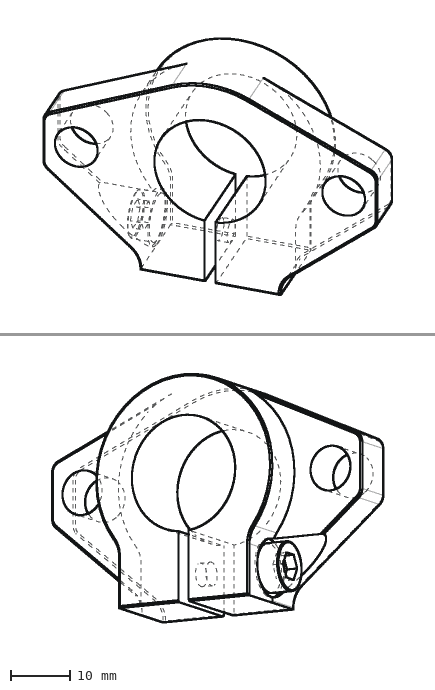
import cadquery as cq
import math

flange_width = 60.0
flange_thickness = 8.0
total_depth = 16.0
hub_radius = 17.05
bore_diameter = 20.0
mount_hole_diameter = 7.7
mount_hole_spacing = 48.0
base_z = -22.15
foot_half_width = 12.6
slot_width = 2.0
edge_chamfer = 0.3

upper_slope = math.radians(23.9)
lower_slope = math.radians(40.1)
lower_corner_z = -4.9
corner_radius = 2.0
flange_foot_radius = 4.8
hub_foot_radius = 5.0

screw_y = flange_thickness
screw_z = -16.2
head_end_x = -16.2
shank_end_x = 12.0
head_length = 4.0
head_diameter = 8.5
head_chamfer = 0.2
counterbore_diameter = 10.0
shank_diameter = 4.0
socket_corner_diameter = 5.0
socket_depth = 2.0

selector_margin = 0.6
half_width = flange_width / 2
head_seat_x = head_end_x + head_length


def make_flange():
    tangent_x = hub_radius * math.sin(upper_slope)
    tangent_z = hub_radius * math.cos(upper_slope)
    upper_corner_z = tangent_z - (half_width - tangent_x) * math.tan(upper_slope)
    foot_corner_z = lower_corner_z - (half_width - foot_half_width) * math.tan(lower_slope)
    sketch = (
        cq.Workplane("XZ")
        .moveTo(-tangent_x, tangent_z)
        .threePointArc((0, hub_radius), (tangent_x, tangent_z))
        .lineTo(half_width, upper_corner_z)
        .lineTo(half_width, lower_corner_z)
        .lineTo(foot_half_width, foot_corner_z)
        .lineTo(foot_half_width, base_z)
        .lineTo(-foot_half_width, base_z)
        .lineTo(-foot_half_width, foot_corner_z)
        .lineTo(-half_width, lower_corner_z)
        .lineTo(-half_width, upper_corner_z)
    )
    blank = sketch.close().extrude(-flange_thickness)
    rounded = blank.edges("|Y and (<X or >X)").fillet(corner_radius)
    foot_corners = cq.selectors.BoxSelector(
        (-foot_half_width - selector_margin, 0, foot_corner_z - selector_margin),
        (foot_half_width + selector_margin, total_depth, foot_corner_z + selector_margin),
    )
    rounded = rounded.edges("|Y").edges(foot_corners).fillet(flange_foot_radius)
    return rounded.faces("<Y or >Y").chamfer(edge_chamfer)


def make_hub():
    """Round hub blended by concave arcs into a straight-sided foot, starting behind the front chamfer."""
    blend_x = foot_half_width + hub_foot_radius
    centre_distance = hub_radius + hub_foot_radius
    blend_z = -math.sqrt(centre_distance**2 - blend_x**2)
    touch_x = blend_x * hub_radius / centre_distance
    touch_z = blend_z * hub_radius / centre_distance
    half_angle = math.atan2(-blend_z, blend_x) / 2
    mid_x = blend_x - hub_foot_radius * math.cos(half_angle)
    mid_z = blend_z + hub_foot_radius * math.sin(half_angle)
    sketch = (
        cq.Workplane("XZ")
        .moveTo(-touch_x, touch_z)
        .threePointArc((0, hub_radius), (touch_x, touch_z))
        .threePointArc((mid_x, mid_z), (foot_half_width, blend_z))
        .lineTo(foot_half_width, base_z)
        .lineTo(-foot_half_width, base_z)
        .lineTo(-foot_half_width, blend_z)
        .threePointArc((-mid_x, mid_z), (-touch_x, touch_z))
    )
    blank = sketch.close().extrude(edge_chamfer - total_depth)
    blank = blank.translate((0, edge_chamfer, 0))
    return blank.faces(">Y").chamfer(edge_chamfer)


def screw_plane(x):
    """Plane across the screw axis, with its normal along +X."""
    return cq.Workplane("YZ", origin=(x, screw_y, screw_z))


def make_screw():
    head = screw_plane(head_end_x).circle(head_diameter / 2).extrude(head_length)
    head = head.faces("<X").chamfer(head_chamfer)
    shank = screw_plane(head_seat_x).circle(shank_diameter / 2).extrude(shank_end_x - head_seat_x)
    socket = screw_plane(head_end_x).polygon(6, socket_corner_diameter).extrude(socket_depth)
    return head.union(shank).cut(socket)


body = make_flange().union(make_hub())

bore = cq.Workplane("XZ").circle(bore_diameter / 2).extrude(-total_depth)
mount_holes = (
    cq.Workplane("XZ")
    .pushPoints([(-mount_hole_spacing / 2, 0), (mount_hole_spacing / 2, 0)])
    .circle(mount_hole_diameter / 2)
    .extrude(-flange_thickness)
)
slot = cq.Workplane("XY").box(slot_width, total_depth, -base_z, centered=(True, False, False))
slot = slot.translate((0, 0, base_z))
counterbore = screw_plane(-half_width).circle(counterbore_diameter / 2).extrude(half_width + head_seat_x)

result = body.cut(bore).cut(mount_holes).cut(slot).cut(counterbore).union(make_screw())